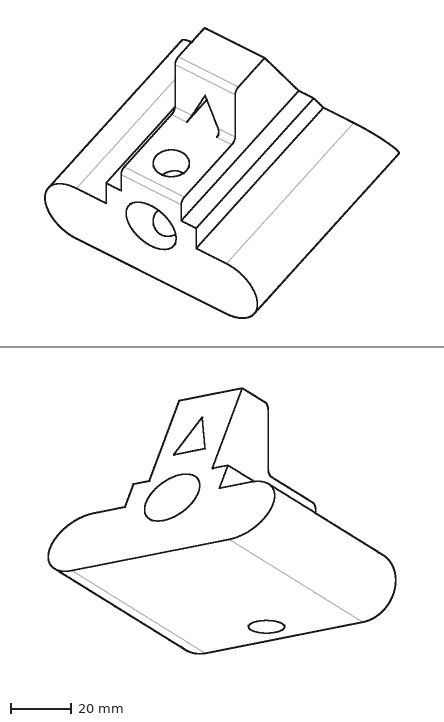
import cadquery as cq
import math

base_width = 85.0
length = 90.0
height = 70.0
back_angle = 60.0

base_height = 25.0
rail_top = 35.0
ledge_top = 45.0

rail_width = 36.0
tower_width = 24.0
ledge_depth = 32.0
edge_radius = 2.0

bore_diameter = 20.0
bore_height = base_height
pin_diameter = 12.0
pin_setback = 12.0
notch_width = 12.0
notch_top = 60.0


def centered_block(width, depth, top):
    """Block resting on Z = 0, centred on X, with its front face at Y = 0."""
    return cq.Workplane("XY").box(width, depth, top, centered=(True, False, False))


def extrude_back(sketch):
    """Extrude an XZ outline from the front face toward +Y."""
    return sketch.extrude(-length)


def make_base():
    """Flat bar with fully rounded sides."""
    center_height = base_height / 2
    outline = cq.Workplane("XZ").center(0, center_height).slot2D(base_width, base_height)
    return extrude_back(outline)


def make_tower():
    """Stepped centre block with a rounded ledge, inner corner and upper edge."""
    profile = (
        cq.Workplane("YZ")
        .moveTo(0, 0)
        .lineTo(0, ledge_top - edge_radius)
        .radiusArc((edge_radius, ledge_top), edge_radius)
        .lineTo(ledge_depth - edge_radius, ledge_top)
        .radiusArc((ledge_depth, ledge_top + edge_radius), -edge_radius)
        .lineTo(ledge_depth, height - edge_radius)
        .radiusArc((ledge_depth + edge_radius, height), edge_radius)
        .lineTo(length, height)
        .lineTo(length, 0)
        .close()
    )
    return profile.extrude(tower_width / 2, both=True)


def make_back_envelope():
    """Wide prism that keeps everything in front of the sloping rear face."""
    top_depth = length - height / math.tan(math.radians(back_angle))
    profile = cq.Workplane("YZ").polyline([(0, 0), (length, 0), (top_depth, height), (0, height)]).close()
    return profile.extrude(base_width, both=True)


def make_bore():
    """Lengthwise round passage."""
    return extrude_back(cq.Workplane("XZ").center(0, bore_height).circle(bore_diameter / 2))


def make_pin_hole():
    """Vertical hole through the ledge and the base."""
    return cq.Workplane("XY").center(0, pin_setback).circle(pin_diameter / 2).extrude(height)


def make_notch():
    """Triangular sighting window through the tower, standing on the ledge level."""
    half_width = notch_width / 2
    corners = [(-half_width, ledge_top), (half_width, ledge_top), (0, notch_top)]
    return extrude_back(cq.Workplane("XZ").polyline(corners).close())


body = make_base()
body = body.union(centered_block(rail_width, length, rail_top))
body = body.union(make_tower())
body = body.intersect(make_back_envelope())

for opening in (make_bore(), make_pin_hole(), make_notch()):
    body = body.cut(opening)

result = body